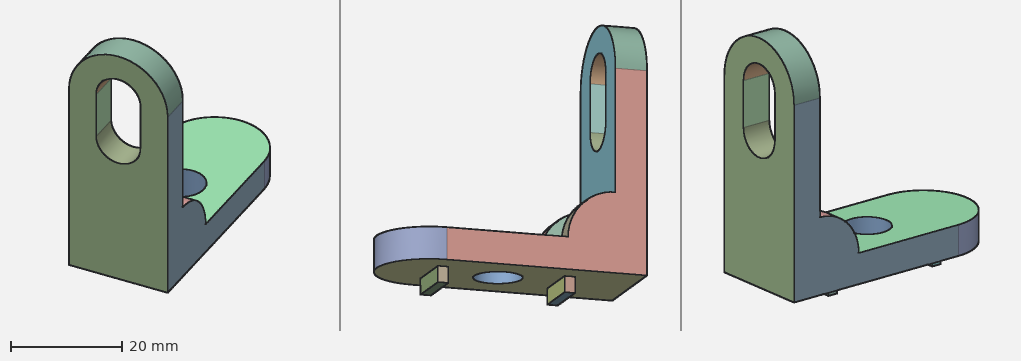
import cadquery as cq

width = 20.0
leg_length = 48.0
total_height = 51.0
thickness = 6.0
end_radius = width / 2

hole_diameter = 9.0
hole_y = 25.0
slot_length = 18.0
slot_top_margin = 5.0
slot_z = leg_length - slot_top_margin - slot_length / 2

gusset_radius = 9.0
gusset_gap = 12.5
gusset_width = (width - gusset_gap) / 2

peg_width = 10.0
peg_thickness = 2.0
peg_height = total_height - leg_length
first_peg_y = 13.0
peg_spacing = 24.0


def leg(plane):
    """Plate with one rounded end, drawn from the bend along the plane's second axis."""
    straight_end = leg_length - end_radius
    return (
        cq.Workplane(plane)
        .moveTo(-width / 2, 0)
        .lineTo(width / 2, 0)
        .lineTo(width / 2, straight_end)
        .threePointArc((0, leg_length), (-width / 2, straight_end))
        .close()
    )


def gusset(x_start):
    """Quarter disc filling the inner corner, centred on the bend line."""
    return (
        cq.Workplane("YZ", origin=(x_start, thickness, thickness))
        .lineTo(gusset_radius, 0)
        .radiusArc((0, gusset_radius), -gusset_radius)
        .close()
        .extrude(gusset_width)
    )


def peg(y):
    """Rectangular locating peg below the base."""
    return (
        cq.Workplane("XY", origin=(0, y, 0))
        .rect(peg_width, peg_thickness)
        .extrude(-peg_height)
    )


base = leg("XY").extrude(thickness)
upright = leg("XZ").extrude(-thickness)
result = base.union(upright)

for x_start in (-width / 2, gusset_gap / 2):
    result = result.union(gusset(x_start))

for y in (first_peg_y, first_peg_y + peg_spacing):
    result = result.union(peg(y))

base_hole = (
    cq.Workplane("XY", origin=(0, hole_y, 0))
    .circle(hole_diameter / 2)
    .extrude(thickness)
)
result = result.cut(base_hole)

upright_slot = (
    cq.Workplane("XZ", origin=(0, 0, slot_z))
    .slot2D(slot_length, hole_diameter, 90)
    .extrude(-thickness)
)
result = result.cut(upright_slot)